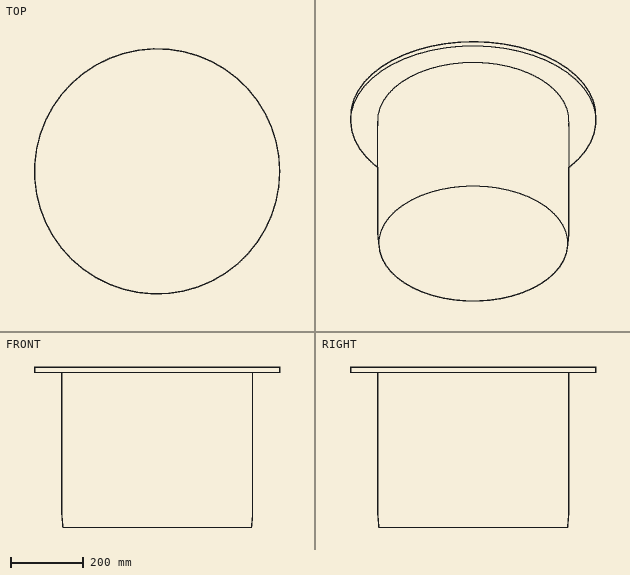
import cadquery as cq
import math

total_height = 445.0
flange_diameter = 680.0
flange_thickness = 15.0

barrel_diameter = 530.0
taper_angle = math.radians(5)
blend_radius = 75.0
blend_top = 38.0

barrel_radius = barrel_diameter / 2
barrel_height = total_height - flange_thickness


def blend_point(angle):
    """Point of the blend arc where the wall leans inward by the given angle."""
    radius = barrel_radius - blend_radius * (1 - math.cos(angle))
    height = blend_top - blend_radius * math.sin(angle)
    return radius, height


def make_barrel():
    """Upright cylinder whose lower end narrows through a tangent arc."""
    blend_end_radius, blend_end_height = blend_point(taper_angle)
    tip_radius = blend_end_radius - blend_end_height * math.tan(taper_angle)
    return (
        cq.Workplane("XZ")
        .lineTo(tip_radius, 0)
        .lineTo(blend_end_radius, blend_end_height)
        .threePointArc(blend_point(taper_angle / 2), (barrel_radius, blend_top))
        .lineTo(barrel_radius, barrel_height)
        .lineTo(0, barrel_height)
        .close()
        .revolve(360, (0, 0, 0), (0, 1, 0))
    )


def make_flange():
    """Round plate closing the top of the barrel."""
    return (
        cq.Workplane("XY")
        .workplane(offset=barrel_height)
        .circle(flange_diameter / 2)
        .extrude(flange_thickness)
    )


barrel = make_barrel()
flange = make_flange()
result = cq.Compound.makeCompound([barrel.val(), flange.val()])